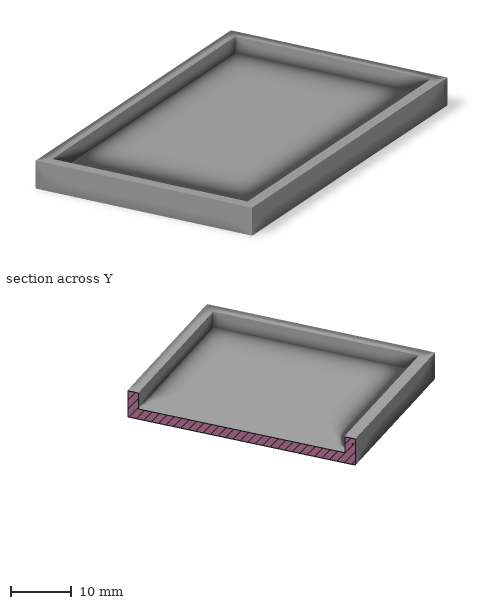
import cadquery as cq

length_x = 41.2
length_y = 65.0
height = 5.0

wall = 2.0
recess_depth = 3.0


def make_block():
    """Solid block with its base on Z = 0, centred in X and Y."""
    return cq.Workplane("XY").box(length_x, length_y, height, centered=(True, True, False))


def cut_recess(body):
    """Sink a rectangular recess from the top face, leaving the rim and the floor."""
    recess_x = length_x - 2 * wall
    recess_y = length_y - 2 * wall
    return body.faces(">Z").workplane().rect(recess_x, recess_y).cutBlind(-recess_depth)


result = cut_recess(make_block())